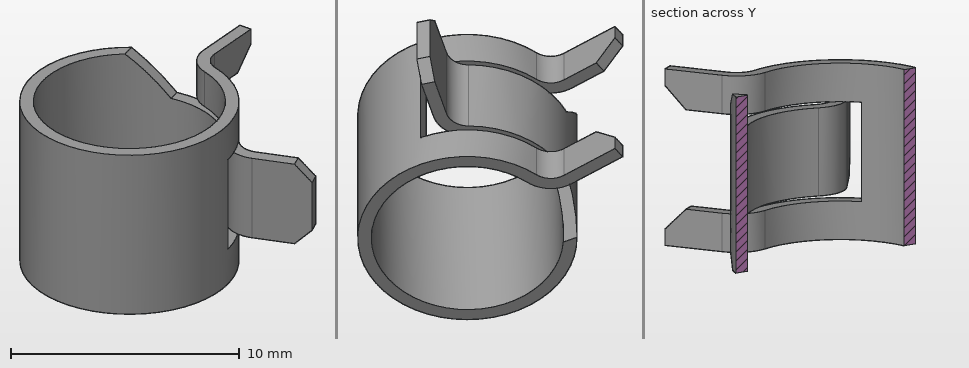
import cadquery as cq
import math

ring_radius = 4.8
band_width = 8.0
thickness = 0.6
overall_depth = 11.94
arm_tip_y = overall_depth - ring_radius

bend_inner_radius = 1.0
bend_offset_x = 1.91
arm_angle = 55.0

tongue_width = 4.0
slot_clearance = 0.25
slot_width = tongue_width + 2 * slot_clearance
shoulder = (band_width - tongue_width) / 2
tongue_tip_chamfer = 0.8
prong_tip_chamfer = 1.0

inner_radius = ring_radius - thickness
bend_outer_radius = bend_inner_radius + thickness
bend_center_distance = ring_radius + bend_inner_radius
bend_center = (-bend_offset_x, math.sqrt(bend_center_distance**2 - bend_offset_x**2))
mid_height = band_width / 2
arm_dir_x = math.cos(math.radians(arm_angle))
arm_dir_y = math.sin(math.radians(arm_angle))
cut_reach = 2 * overall_depth


def ring_point(radius, angle):
    """Point at the given angle in degrees on a circle around the ring axis."""
    a = math.radians(angle)
    return (radius * math.cos(a), radius * math.sin(a))


def bend_point(radius, angle):
    """Point on the bend at the given angle in degrees."""
    a = math.radians(angle)
    return (bend_center[0] + radius * math.cos(a), bend_center[1] + radius * math.sin(a))


def make_strap(ring_start):
    """Full-width strap: counterclockwise around the ring from the ring_start angle,
    past the +Y side and out along an arm leaning to -X."""
    tangent_angle = math.degrees(math.atan2(bend_center[1], bend_center[0]))
    ring_middle = (ring_start + tangent_angle) / 2
    bend_start = tangent_angle - 180
    arm_start = -90 - arm_angle
    bend_middle = (bend_start + arm_start) / 2

    top_start = bend_point(bend_inner_radius, arm_start)
    arm_length = (arm_tip_y - top_start[1]) / arm_dir_y
    top_tip = (top_start[0] - arm_length * arm_dir_x, arm_tip_y)
    bottom_tip = (top_tip[0] - thickness * arm_dir_y, top_tip[1] - thickness * arm_dir_x)

    return (
        cq.Workplane("XY")
        .moveTo(*ring_point(ring_radius, ring_start))
        .threePointArc(ring_point(ring_radius, ring_middle), bend_point(bend_inner_radius, bend_start))
        .threePointArc(bend_point(bend_inner_radius, bend_middle), top_start)
        .lineTo(*top_tip)
        .lineTo(*bottom_tip)
        .lineTo(*bend_point(bend_outer_radius, arm_start))
        .threePointArc(
            bend_point(bend_outer_radius, bend_middle), bend_point(bend_outer_radius, bend_start)
        )
        .threePointArc(
            ring_point(inner_radius, ring_middle), ring_point(inner_radius, ring_start)
        )
        .close()
        .extrude(band_width)
    )


def tip_edges(strap, side):
    """Edges across the thickness at the arm tip; side is the X sign of the arm."""
    tip = cq.selectors.DirectionMinMaxSelector(cq.Vector(side * arm_dir_x, arm_dir_y, 0), True)
    return strap.faces(tip).edges("#Z")


def make_fork():
    """Three quarters of the ring, slotted from its 45 degree radial line to the tip
    to leave two prongs. It starts on the -X side, where it meets the tongue."""
    radial_plane = cq.Plane(origin=(0, 0, mid_height), xDir=(-1, 1, 0), normal=(1, 1, 0))
    slot = cq.Workplane(radial_plane).box(
        cut_reach, slot_width, cut_reach, centered=(False, True, False)
    )
    fork = make_strap(-180).cut(slot)
    return tip_edges(fork, -1).edges("not(<Z or >Z)").chamfer(prong_tip_chamfer)


def make_tongue():
    """Strap turned over to run from the -X side to a +X arm, narrowed by
    45 degree shoulders that end at its 135 degree radial line."""
    radial_plane = cq.Plane(origin=(0, 0, mid_height), xDir=(1, 1, 0), normal=(1, -1, 0))
    tongue = make_strap(0).rotate((0, 0, mid_height), (0, 1, mid_height), 180)
    for side in (1, -1):
        side_cut = (
            cq.Workplane(radial_plane)
            .moveTo(-shoulder, side * band_width / 2)
            .lineTo(0, side * tongue_width / 2)
            .lineTo(cut_reach, side * tongue_width / 2)
            .lineTo(cut_reach, side * band_width / 2)
            .close()
            .extrude(cut_reach, both=True)
        )
        tongue = tongue.cut(side_cut)
    return tip_edges(tongue, 1).chamfer(tongue_tip_chamfer)


result = make_fork().union(make_tongue())